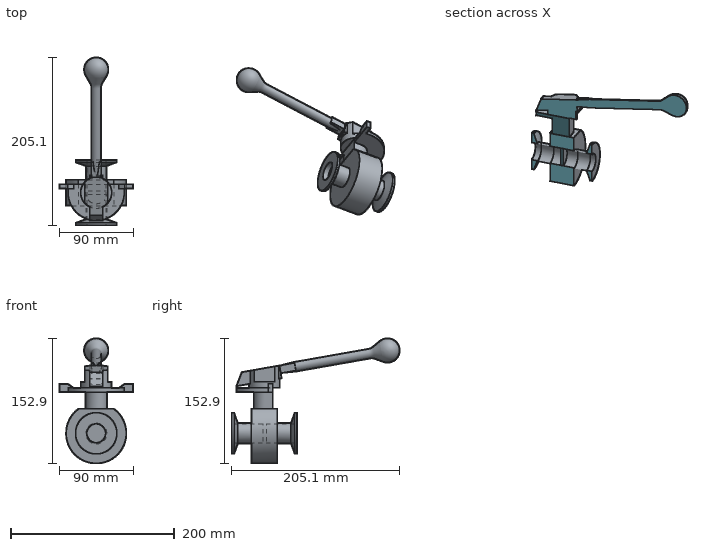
import cadquery as cq
import math


housing_radius = 37.0
housing_width = 31.8
housing_top = 30.0
pipe_length = 80.0
pipe_diameter = 25.5
bore_diameter = 23.0
flange_diameter = 50.5
flange_rim = 3.0
flange_depth = 7.5
disc_thickness = 4.0

post_radius = 13.3
plate_radius = 34.2
plate_bottom = 50.2
plate_top = 55.4
bracket_back = 10.3
ear_depth = 5.3
ear_top = 60.3
ear_tip = 90.0 / 2
ear_slope_start = 27.5
ear_slope_end = 34.6

hub_radius = 38.0 / 2
hub_base_top = 62.7
hub_flat_width = 28.3
hub_top = 79.5

tilt = 10.0
bar_width = 15.8
bar_height = 16.0
bar_back = 18.7
bar_front_top = 28.0
bar_front_tip = 37.7

root_width = 11.9
root_height = 9.5
root_drop = 0.2
root_end = 37.3
rod_radius = 12.0 / 2
knob_radius = 15.0
knob_position = 151.5
knob_cone_angle = 30.0
knob_fillet = 10.0


def make_housing():
    """Round block with a flat top, two flanged pipe ends and a through bore."""
    end = pipe_length / 2
    block = cq.Workplane("XZ").circle(housing_radius).extrude(housing_width / 2, both=True)
    above_flat = (
        cq.Workplane("XY")
        .workplane(offset=housing_top)
        .rect(2 * housing_radius, 2 * housing_width)
        .extrude(housing_radius)
    )
    pipe_profile = (
        cq.Workplane("XY")
        .moveTo(0, -end)
        .lineTo(flange_diameter / 2, -end)
        .lineTo(flange_diameter / 2, -end + flange_rim)
        .lineTo(pipe_diameter / 2, -end + flange_depth)
        .lineTo(pipe_diameter / 2, end - flange_depth)
        .lineTo(flange_diameter / 2, end - flange_rim)
        .lineTo(flange_diameter / 2, end)
        .lineTo(0, end)
        .close()
    )
    pipe = pipe_profile.revolve(360, (0, 0, 0), (0, 1, 0))
    bore = cq.Workplane("XZ").circle(bore_diameter / 2).extrude(end, both=True)
    return block.cut(above_flat).union(pipe).cut(bore)


def make_disc():
    """Closing disc that fills the bore at the middle of the housing."""
    return cq.Workplane("XZ").circle(bore_diameter / 2).extrude(disc_thickness / 2, both=True)


def half_round(radius, bottom, top):
    """Upright block with a flat back, parallel sides and a round front."""
    return (
        cq.Workplane("XY")
        .workplane(offset=bottom)
        .moveTo(-radius, bracket_back)
        .lineTo(-radius, 0)
        .threePointArc((0, -radius), (radius, 0))
        .lineTo(radius, bracket_back)
        .close()
        .extrude(top - bottom)
    )


def make_ear():
    """Stop ear on the +X side with a sloping inner edge."""
    return (
        cq.Workplane("XZ", origin=(0, bracket_back, 0))
        .moveTo(ear_slope_start, plate_bottom)
        .lineTo(ear_tip, plate_bottom)
        .lineTo(ear_tip, ear_top)
        .lineTo(ear_slope_end, ear_top)
        .lineTo(ear_slope_start, plate_top)
        .close()
        .extrude(ear_depth)
    )


def make_bracket():
    """Post on the housing that carries the stop plate and its ears."""
    post = half_round(post_radius, housing_top, plate_bottom)
    plate = half_round(plate_radius, plate_bottom, plate_top)
    ear = make_ear()
    return post.union(plate).union(ear).union(ear.mirror("YZ"))


def tilt_into_place(shape):
    """Tilt a shape built along +Y with its top at Z = 0 onto the hub top."""
    return shape.rotate((0, 0, 0), (1, 0, 0), tilt).translate((0, 0, hub_top))


def make_hub():
    """Round hub with two side flats above its base and a sloping top."""
    hub = (
        cq.Workplane("XY")
        .workplane(offset=plate_top)
        .circle(hub_radius)
        .extrude(hub_base_top - plate_top)
    )
    upper = (
        cq.Workplane("XY")
        .workplane(offset=hub_base_top)
        .circle(hub_radius)
        .extrude(hub_top - plate_top)
    )
    between_flats = cq.Workplane("XY").box(hub_flat_width, 2 * hub_radius, 4 * hub_top)
    above_slope = tilt_into_place(
        cq.Workplane("XY").rect(4 * hub_radius, 4 * hub_radius).extrude(hub_top)
    )
    return hub.union(upper.intersect(between_flats)).cut(above_slope)


def make_bar():
    """Bar through the hub with a slanted front end."""
    bar = (
        cq.Workplane("YZ")
        .moveTo(bar_back, 0)
        .lineTo(bar_back, -bar_height)
        .lineTo(-bar_front_tip, -bar_height)
        .lineTo(-bar_front_top, 0)
        .close()
        .extrude(bar_width / 2, both=True)
    )
    return tilt_into_place(bar)


def make_lever():
    """Rectangular root, tapered rod and ball knob, with the rod axis central in the root."""
    axis_height = -root_drop - root_height / 2
    root = (
        cq.Workplane("XZ", origin=(0, root_end, axis_height))
        .rect(root_width, root_height)
        .extrude(root_end - bar_back)
    )

    angle = math.radians(knob_cone_angle)
    cone_start_radius = knob_radius * math.cos(angle)
    cone_start = knob_position - knob_radius * math.sin(angle)
    neck_radius = rod_radius + knob_fillet * (1 - math.cos(angle))
    neck_start = cone_start - (cone_start_radius - neck_radius) / math.tan(angle)
    rod_end = neck_start - knob_fillet * math.sin(angle)
    neck_middle = (
        rod_radius + knob_fillet * (1 - math.cos(angle / 2)),
        rod_end + knob_fillet * math.sin(angle / 2),
    )

    rod = (
        cq.Workplane("XY")
        .moveTo(0, bar_back)
        .lineTo(root_height / 2, bar_back)
        .lineTo(rod_radius, root_end)
        .lineTo(rod_radius, rod_end)
        .threePointArc(neck_middle, (neck_radius, neck_start))
        .lineTo(cone_start_radius, cone_start)
        .threePointArc((knob_radius, knob_position), (0, knob_position + knob_radius))
        .close()
        .revolve(360, (0, 0, 0), (0, 1, 0))
        .translate((0, 0, axis_height))
    )
    return tilt_into_place(root.union(rod))


def make_handle():
    """Hub, bar and lever as one piece resting on the stop plate."""
    return make_hub().union(make_bar()).union(make_lever())


housing = make_housing()
disc = make_disc()
bracket = make_bracket()
handle = make_handle()

result = cq.Compound.makeCompound([housing.val(), disc.val(), bracket.val(), handle.val()])